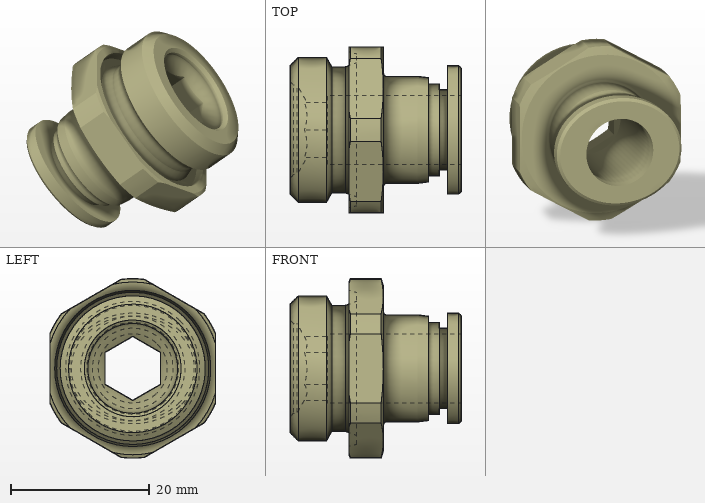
import math

import cadquery as cq


THREAD_END = 5.25
NECK_START = 6.05
NECK_END = 8.0
NUT_START = 8.5
NUT_END = 13.55
SLEEVE_TAPER_START = 18.5
SLEEVE_END = 20.05
COLLAR_END = 21.6
FLANGE_START = 22.75
LENGTH = 24.8

THREAD_RADIUS = 10.5
THREAD_CHAMFER = 1.2
NECK_RADIUS = 9.12
SLEEVE_RADIUS = 7.75
SLEEVE_END_RADIUS = 7.55
SLEEVE_FILLET = 0.4
COLLAR_RADIUS = 6.65
COLLET_RADIUS = 5.83

HEX_HALF_SECTOR = 30.0

NUT_ACROSS_FLATS = 24.0
NUT_RADIUS = 13.0
NUT_FRONT_CHAMFER = 0.23
NUT_FRONT_FACE_RADIUS = 12.5
NUT_BACK_CHAMFER = 0.37
NUT_BACK_FACE_RADIUS = 11.8

GROOVE_DEPTH = 1.1
GROOVE_OUTER_RADIUS = 11.3
GROOVE_OUTER_TAPER = 15.0
GROOVE_INNER_TAPER = 20.0

FLANGE_WIDTH = 18.6
FLANGE_HEIGHT = 16.0
FLANGE_CHAMFER = 0.4

COUNTERBORE_RADIUS = 6.5
COUNTERBORE_DEPTH = 1.0
ENTRY_CHAMFER = 0.5
DRILL_POINT_HALF_ANGLE = 60.0
SOCKET_ACROSS_FLATS = 8.0
SOCKET_END = 5.45
TUBE_BORE_RADIUS = 5.0


def tangent(degrees):
    return math.tan(math.radians(degrees))


def axial_profile():
    """Sketch plane whose local coordinates are (axial position, radius)."""
    return cq.Workplane("XY")


def revolve(profile):
    return profile.close().revolve(360, (0, 0, 0), (1, 0, 0))


def hex_prism(across_flats, start, end):
    """Hexagonal prism along X with two of its corners on the Z axis."""
    corner_diameter = across_flats / math.cos(math.radians(HEX_HALF_SECTOR))
    prism = cq.Workplane("YZ", origin=(start, 0, 0)).polygon(6, corner_diameter).extrude(end - start)
    return prism.rotate((0, 0, 0), (1, 0, 0), HEX_HALF_SECTOR)


def turned_body():
    groove_floor = NUT_START + GROOVE_DEPTH
    flare_radius = NECK_RADIUS + (groove_floor - NECK_END) * tangent(GROOVE_INNER_TAPER)
    profile = (
        axial_profile()
        .moveTo(0, 0)
        .lineTo(0, THREAD_RADIUS - THREAD_CHAMFER)
        .lineTo(THREAD_CHAMFER, THREAD_RADIUS)
        .lineTo(THREAD_END, THREAD_RADIUS)
        .lineTo(NECK_START, NECK_RADIUS)
        .lineTo(NECK_END, NECK_RADIUS)
        .lineTo(groove_floor, flare_radius)
        .lineTo(NUT_END, flare_radius)
        .lineTo(NUT_END, SLEEVE_RADIUS + SLEEVE_FILLET)
        .radiusArc((NUT_END + SLEEVE_FILLET, SLEEVE_RADIUS), -SLEEVE_FILLET)
        .lineTo(SLEEVE_TAPER_START, SLEEVE_RADIUS)
        .lineTo(SLEEVE_END, SLEEVE_END_RADIUS)
        .lineTo(SLEEVE_END, COLLAR_RADIUS)
        .lineTo(COLLAR_END, COLLAR_RADIUS)
        .lineTo(COLLAR_END, COLLET_RADIUS)
        .lineTo(FLANGE_START, COLLET_RADIUS)
        .lineTo(FLANGE_START, 0)
    )
    return revolve(profile)


def nut():
    """Hexagon trimmed by a chamfered disc and hollowed by the seal groove."""
    groove_floor = NUT_START + GROOVE_DEPTH
    groove_floor_radius = GROOVE_OUTER_RADIUS - GROOVE_DEPTH * tangent(GROOVE_OUTER_TAPER)
    disc = revolve(
        axial_profile()
        .moveTo(groove_floor, 0)
        .lineTo(groove_floor, groove_floor_radius)
        .lineTo(NUT_START, GROOVE_OUTER_RADIUS)
        .lineTo(NUT_START, NUT_FRONT_FACE_RADIUS)
        .lineTo(NUT_START + NUT_FRONT_CHAMFER, NUT_RADIUS)
        .lineTo(NUT_END - NUT_BACK_CHAMFER, NUT_RADIUS)
        .lineTo(NUT_END, NUT_BACK_FACE_RADIUS)
        .lineTo(NUT_END, 0)
    )
    return hex_prism(NUT_ACROSS_FLATS, NUT_START, NUT_END).intersect(disc)


def release_flange():
    return (
        cq.Workplane("YZ", origin=(FLANGE_START, 0, 0))
        .ellipse(FLANGE_WIDTH / 2, FLANGE_HEIGHT / 2)
        .extrude(LENGTH - FLANGE_START)
        .faces(">X")
        .edges()
        .chamfer(FLANGE_CHAMFER)
    )


def bore():
    cone_depth = COUNTERBORE_RADIUS / tangent(DRILL_POINT_HALF_ANGLE)
    entry = revolve(
        axial_profile()
        .moveTo(0, 0)
        .lineTo(0, COUNTERBORE_RADIUS + ENTRY_CHAMFER)
        .lineTo(ENTRY_CHAMFER, COUNTERBORE_RADIUS)
        .lineTo(COUNTERBORE_DEPTH, COUNTERBORE_RADIUS)
        .lineTo(COUNTERBORE_DEPTH + cone_depth, 0)
    )
    socket = hex_prism(SOCKET_ACROSS_FLATS, 0, SOCKET_END)
    tube_bore = (
        cq.Workplane("YZ", origin=(SOCKET_END, 0, 0))
        .circle(TUBE_BORE_RADIUS)
        .extrude(LENGTH - SOCKET_END)
    )
    return entry.union(socket).union(tube_bore)


result = turned_body().union(nut()).union(release_flange()).cut(bore())